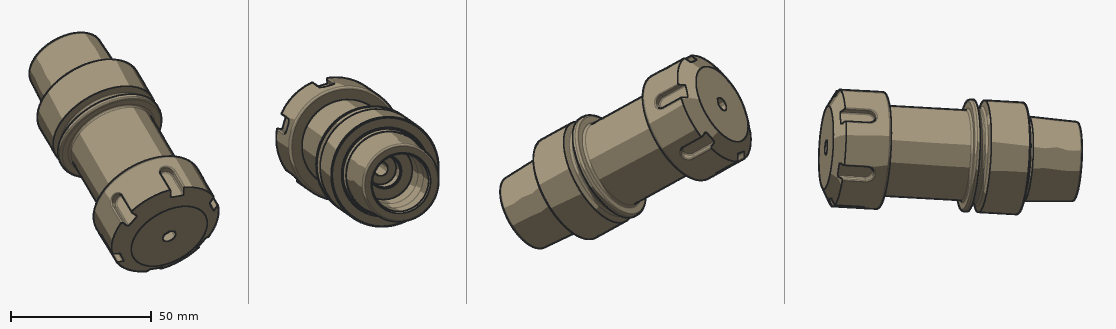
import cadquery as cq
import math

LENGTH = 89.9
THROUGH_HOLE_RADIUS = 2.5

TOLERANCE = 0.01

SHANK_TIP_RADIUS = 14.2
SHANK_BASE_RADIUS = 15.1
SHANK_LENGTH = 17.9
SHANK_TIP_ROUND = 0.7

RELIEF_RADIUS = 14.7
RELIEF_FLOOR_START = 18.7
RELIEF_FLOOR_END = 19.2
RELIEF_ROUND = 0.8
RELIEF_FACE_RADIUS = 16.2

FLANGE_START = 19.8
FLANGE_END = 39.8
FLANGE_RADIUS = 20.0
FLANGE_FRONT_CHAMFER = 0.4
FLANGE_REAR_ROUND = 0.8
GROOVE_START = 33.9
GROOVE_FLOOR_START = 35.0
GROOVE_FLOOR_END = 36.6
GROOVE_END = 37.9
GROOVE_RADIUS = 17.3
GROOVE_ROUND = 0.9

BODY_RADIUS = 16.1
BODY_ROUND = 0.8

BORE_MOUTH_RADIUS = 11.0
BORE_RADIUS = 10.4
BORE_CHAMFER_DEPTH = 0.8
BORE_CONE_START = 7.6
BORE_CONE_END = 12.95
BORE_INNER_RADIUS = 10.0
BORE_DEPTH = 19.8
PILOT_MOUTH_RADIUS = 6.0
PILOT_RADIUS = 5.6
PILOT_DEPTH = 5.4

NUT_START = 69.9
NUT_RADIUS = 20.9
NUT_REAR_ROUND = 0.9
NUT_CONE_START = 86.4
NUT_CONE_ANGLE = 60.0
NUT_FRONT_RADIUS = NUT_RADIUS - (LENGTH - NUT_CONE_START) * math.tan(math.radians(NUT_CONE_ANGLE))
NUT_WALL = 3.5
SOCKET_END = LENGTH - NUT_WALL

SLOT_COUNT = 6
SLOT_FIRST_ANGLE = -13.0
SLOT_WIDTH = 5.2
SLOT_FLOOR_RADIUS = 18.25
SLOT_ROUND_CENTER = 78.1
SLOT_FLOOR_ROUND = 0.4
SLOT_LIP_ROUND = 0.45


def revolve_about_x(outline):
    """Turn a closed outline in the XY plane, y being the radius, about the X axis."""
    return outline.close().revolve(360, (0, 0, 0), (1, 0, 0))


def make_groove():
    """Ring-shaped cutter for the V groove, rounded at both floor corners."""
    ring = revolve_about_x(
        cq.Workplane("XY")
        .moveTo(GROOVE_START, FLANGE_RADIUS)
        .lineTo(GROOVE_FLOOR_START, GROOVE_RADIUS)
        .lineTo(GROOVE_FLOOR_END, GROOVE_RADIUS)
        .lineTo(GROOVE_END, FLANGE_RADIUS)
    )
    floor_edges = cq.selectors.BoxSelector(
        (GROOVE_FLOOR_START - TOLERANCE, -FLANGE_RADIUS, -FLANGE_RADIUS),
        (GROOVE_FLOOR_END + TOLERANCE, FLANGE_RADIUS, FLANGE_RADIUS),
    )
    return ring.edges("%CIRCLE").edges(floor_edges).fillet(GROOVE_ROUND)


def make_bore():
    """Stepped bore of the shank, ending in the narrow through hole."""
    pilot_chamfer = PILOT_MOUTH_RADIUS - PILOT_RADIUS
    return revolve_about_x(
        cq.Workplane("XY")
        .moveTo(0, 0)
        .lineTo(0, BORE_MOUTH_RADIUS)
        .lineTo(BORE_CHAMFER_DEPTH, BORE_RADIUS)
        .lineTo(BORE_CONE_START, BORE_RADIUS)
        .lineTo(BORE_CONE_END, BORE_INNER_RADIUS)
        .lineTo(BORE_DEPTH, BORE_INNER_RADIUS)
        .lineTo(BORE_DEPTH, PILOT_MOUTH_RADIUS)
        .lineTo(BORE_DEPTH + pilot_chamfer, PILOT_RADIUS)
        .lineTo(BORE_DEPTH + PILOT_DEPTH, PILOT_RADIUS)
        .lineTo(BORE_DEPTH + PILOT_DEPTH, THROUGH_HOLE_RADIUS)
        .lineTo(SOCKET_END, THROUGH_HOLE_RADIUS)
        .lineTo(SOCKET_END, 0)
    )


def make_holder():
    """Shank, flange and body in one turned piece."""
    turned = revolve_about_x(
        cq.Workplane("XY")
        .moveTo(0, 0)
        .lineTo(0, SHANK_TIP_RADIUS - SHANK_TIP_ROUND)
        .radiusArc((SHANK_TIP_ROUND, SHANK_TIP_RADIUS), SHANK_TIP_ROUND)
        .lineTo(SHANK_LENGTH, SHANK_BASE_RADIUS)
        .lineTo(RELIEF_FLOOR_START, RELIEF_RADIUS)
        .lineTo(RELIEF_FLOOR_END, RELIEF_RADIUS)
        .radiusArc((RELIEF_FLOOR_END + RELIEF_ROUND, RELIEF_RADIUS + RELIEF_ROUND), -RELIEF_ROUND)
        .lineTo(FLANGE_START, RELIEF_FACE_RADIUS)
        .lineTo(FLANGE_START, FLANGE_RADIUS - FLANGE_FRONT_CHAMFER)
        .lineTo(FLANGE_START + FLANGE_FRONT_CHAMFER, FLANGE_RADIUS)
        .lineTo(FLANGE_END - FLANGE_REAR_ROUND, FLANGE_RADIUS)
        .radiusArc((FLANGE_END, FLANGE_RADIUS - FLANGE_REAR_ROUND), FLANGE_REAR_ROUND)
        .lineTo(FLANGE_END, BODY_RADIUS + BODY_ROUND)
        .radiusArc((FLANGE_END + BODY_ROUND, BODY_RADIUS), -BODY_ROUND)
        .lineTo(SOCKET_END, BODY_RADIUS)
        .lineTo(SOCKET_END, 0)
    )
    return turned.cut(make_groove()).cut(make_bore())


def make_slot():
    """Cutter for one slot on the +Z side, round at its closed end and open at the nut's cone."""
    half_width = SLOT_WIDTH / 2
    return (
        cq.Workplane("XY")
        .workplane(offset=SLOT_FLOOR_RADIUS)
        .moveTo(LENGTH, -half_width)
        .lineTo(SLOT_ROUND_CENTER, -half_width)
        .threePointArc((SLOT_ROUND_CENTER - half_width, 0), (SLOT_ROUND_CENTER, half_width))
        .lineTo(LENGTH, half_width)
        .close()
        .extrude(NUT_RADIUS)
        .faces("<Z")
        .edges("not >X")
        .fillet(SLOT_FLOOR_ROUND)
    )


def is_slot_lip(edge):
    """True for an edge where a slot wall meets the cylindrical rim of the nut."""
    ends = [edge.startPoint(), edge.endPoint()]
    on_rim = all(abs(math.hypot(end.y, end.z) - NUT_RADIUS) < TOLERANCE for end in ends)
    beside_slot = all(end.x > SLOT_ROUND_CENTER - SLOT_WIDTH / 2 - TOLERANCE for end in ends)
    along_rim = edge.Center().x < NUT_CONE_START - TOLERANCE
    return on_rim and beside_slot and along_rim


def make_nut():
    """Cap nut with a socket for the body and slots around its rim."""
    nut = revolve_about_x(
        cq.Workplane("XY")
        .moveTo(NUT_START, BODY_RADIUS)
        .lineTo(NUT_START, NUT_RADIUS - NUT_REAR_ROUND)
        .radiusArc((NUT_START + NUT_REAR_ROUND, NUT_RADIUS), NUT_REAR_ROUND)
        .lineTo(NUT_CONE_START, NUT_RADIUS)
        .lineTo(LENGTH, NUT_FRONT_RADIUS)
        .lineTo(LENGTH, THROUGH_HOLE_RADIUS)
        .lineTo(SOCKET_END, THROUGH_HOLE_RADIUS)
        .lineTo(SOCKET_END, BODY_RADIUS)
    )
    slot = make_slot()
    for index in range(SLOT_COUNT):
        angle = SLOT_FIRST_ANGLE + index * 360 / SLOT_COUNT
        nut = nut.cut(slot.rotate((0, 0, 0), (1, 0, 0), angle))
    return nut.edges().filter(is_slot_lip).fillet(SLOT_LIP_ROUND)


holder = make_holder()
nut = make_nut()
result = cq.Compound.makeCompound([holder.val(), nut.val()])